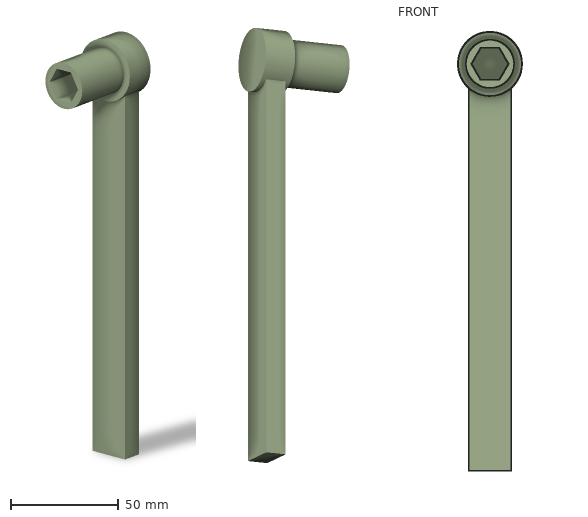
import cadquery as cq
import math

head_diameter = 30.0
head_length = 15.0
socket_diameter = 22.5
socket_length = 30.0
hex_across_flats = 15.0
handle_width = 20.0
handle_thickness = 10.0
overall_height = 205.0

handle_reach = overall_height - head_diameter / 2
hex_depth = socket_length
hex_sides = 6
hex_across_corners = hex_across_flats / math.cos(math.pi / hex_sides)


def make_head():
    """Round head, from the shoulder at Y = 0 back to its rear face."""
    return cq.Workplane("XZ").circle(head_diameter / 2).extrude(-head_length)


def make_socket():
    """Round socket body, projecting forward from the shoulder."""
    return cq.Workplane("XZ").circle(socket_diameter / 2).extrude(socket_length)


def make_handle():
    """Flat bar hanging down from the socket axis, centred in the head's length."""
    return cq.Workplane("XY").box(
        handle_width, handle_thickness, handle_reach, centered=(True, True, False)
    ).translate((0, head_length / 2, -handle_reach))


def make_hex_recess():
    """Blind hexagonal recess, cut in from the socket mouth with corners on the X axis."""
    return (
        cq.Workplane("XZ", origin=(0, -socket_length, 0))
        .polygon(hex_sides, hex_across_corners)
        .extrude(-hex_depth)
    )


result = make_head().union(make_handle()).union(make_socket()).cut(make_hex_recess())